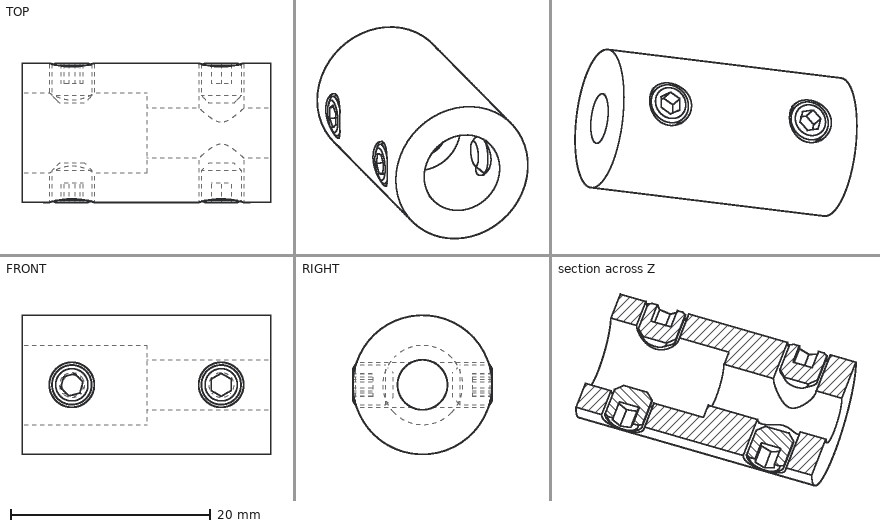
import cadquery as cq

length = 25.0
outer_diameter = 14.0
large_bore_diameter = 8.0
small_bore_diameter = 5.0
bore_step_x = 0.0

screw_hole_diameter = 4.5
screw_offset_x = 7.5

screw_diameter = 4.0
screw_length = 4.0
tip_diameter = 2.5
tip_chamfer_height = (screw_diameter - tip_diameter) / 2
head_diameter = 3.25
head_chamfer_height = 0.22
socket_across_flats = 2.0
socket_depth = 2.0

socket_turns = {-screw_offset_x: 15.0, screw_offset_x: 0.0}


def make_sleeve():
    """Stepped tube with a pair of through holes across its axis."""
    sleeve = cq.Workplane("YZ").circle(outer_diameter / 2).extrude(length / 2, both=True)
    large_bore = (
        cq.Workplane("YZ", origin=(-length / 2, 0, 0))
        .circle(large_bore_diameter / 2)
        .extrude(length / 2 + bore_step_x)
    )
    small_bore = (
        cq.Workplane("YZ", origin=(bore_step_x, 0, 0))
        .circle(small_bore_diameter / 2)
        .extrude(length / 2 - bore_step_x)
    )
    screw_holes = (
        cq.Workplane("XZ")
        .pushPoints([(x, 0) for x in socket_turns])
        .circle(screw_hole_diameter / 2)
        .extrude(outer_diameter, both=True)
    )
    return sleeve.cut(large_bore).cut(small_bore).cut(screw_holes)


def make_set_screw(socket_turn):
    """Screw pointing along Z, tip at the origin and hexagon socket at the top."""
    screw = (
        cq.Workplane("XZ")
        .lineTo(tip_diameter / 2, 0)
        .lineTo(screw_diameter / 2, tip_chamfer_height)
        .lineTo(screw_diameter / 2, screw_length - head_chamfer_height)
        .lineTo(head_diameter / 2, screw_length)
        .lineTo(0, screw_length)
        .close()
        .revolve(360, (0, 0, 0), (0, 1, 0))
    )
    socket = (
        cq.Workplane("XY", origin=(0, 0, screw_length - socket_depth))
        .polygon(6, socket_across_flats, circumscribed=True)
        .extrude(socket_depth)
        .rotate((0, 0, 0), (0, 0, 1), -socket_turn)
    )
    return screw.cut(socket)


def place_set_screw(screw, x, side_turn):
    """Aim a screw toward -Y at station x, then turn it about X to its side."""
    tip_radius = outer_diameter / 2 - screw_length
    return (
        screw.rotate((0, 0, 0), (1, 0, 0), 90)
        .translate((x, -tip_radius, 0))
        .rotate((0, 0, 0), (1, 0, 0), side_turn)
    )


sleeve = make_sleeve()

set_screws = []
for station_x, turn in socket_turns.items():
    for side_turn in (0, 180):
        set_screw = place_set_screw(make_set_screw(turn), station_x, side_turn)
        set_screws.append(set_screw.val())

result = cq.Compound.makeCompound([sleeve.val(), *set_screws])